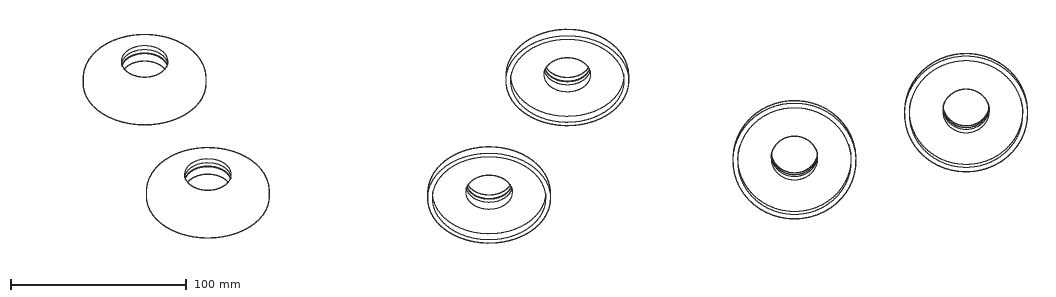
import cadquery as cq

overall_length = 171.6
cover_radius = 35.0
cover_height = 17.0
center_offset = overall_length / 2 - cover_radius

rim_height = 3.8
shoulder_radius = 32.1
shoulder_height = 7.9
flare_mid_radius = 23.2
flare_mid_height = 12.0
neck_radius = 16.1
neck_edge_fillet = 0.9

bore_radius = 13.2
recess_depth = 5.0
skirt_thickness = 2.7
recess_radius = cover_radius - skirt_thickness

seal_section_radius = 1.5
seal_protrusion = 0.3
seal_height = 12.4
seal_center_radius = bore_radius - seal_protrusion + seal_section_radius
groove_height = 2 * seal_section_radius
groove_radius = seal_center_radius + seal_section_radius
groove_bottom = seal_height - seal_section_radius


def make_outer_shape():
    """Revolve the rim, rounded shoulder and concave flare about Z, then round the neck edge."""
    profile = (
        cq.Workplane("XZ")
        .lineTo(cover_radius, 0)
        .lineTo(cover_radius, rim_height)
        .tangentArcPoint((shoulder_radius, shoulder_height), relative=False)
        .threePointArc((flare_mid_radius, flare_mid_height), (neck_radius, cover_height))
        .lineTo(0, cover_height)
        .close()
    )
    shape = profile.revolve(360, (0, 0, 0), (0, 1, 0))
    return shape.faces(">Z").edges().fillet(neck_edge_fillet)


def make_cover(center_x):
    """Cover with a through bore, a hollow underside and a seal groove."""
    bore = cq.Workplane("XY").circle(bore_radius).extrude(cover_height)
    recess = cq.Workplane("XY").circle(recess_radius).extrude(recess_depth)
    groove = cq.Workplane("XY").workplane(offset=groove_bottom).circle(groove_radius).extrude(groove_height)
    cover = make_outer_shape().cut(bore).cut(recess).cut(groove)
    return cover.translate((center_x, 0, 0))


def make_seal_ring(center_x):
    """Round-section ring seated in the groove, standing slightly into the bore."""
    ring = cq.Solid.makeTorus(seal_center_radius, seal_section_radius)
    return cq.Workplane(ring).translate((center_x, 0, seal_height))


bodies = []
for center_x in (-center_offset, center_offset):
    bodies.append(make_cover(center_x).val())
    bodies.append(make_seal_ring(center_x).val())

result = cq.Compound.makeCompound(bodies)